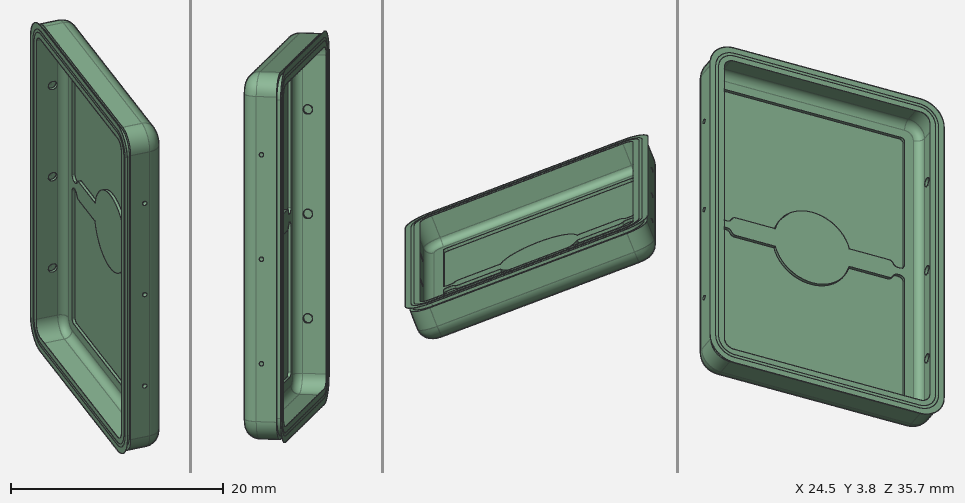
import cadquery as cq
import math

WIDTH = 24.5
HEIGHT = 35.7
DEPTH = 3.8

FILM_THICKNESS = 0.01
FILM_CORNER = 2.5
FILM_BORDER = 1.5

CASE_INSET = 0.3
CASE_CORNER = 2.0
BACK_FILLET = 1.4
NECK_STEP = 0.3
NECK_LENGTH = 0.45
WALL = 0.6
FLOOR = 0.6
NECK_INSET = CASE_INSET + NECK_STEP
CAVITY_INSET = CASE_INSET + WALL
CAVITY_CORNER = CASE_CORNER + NECK_INSET - CAVITY_INSET
CAVITY_FILLET = BACK_FILLET - WALL
FLOOR_Y = DEPTH - FLOOR

SOCKET_COUNT = 3
SOCKET_SPACING = 10.0
SOCKET_Y = 1.9
BORE_DIAMETER = 0.9
BORE_DEPTH = 0.32
DIMPLE_RADIUS = 0.2
OUTER_SIDE_X = WIDTH / 2 - CASE_INSET
INNER_SIDE_X = WIDTH / 2 - CAVITY_INSET

RECESS_INSET = 2.6
RECESS_DEPTH = 0.3
RECESS_CORNER = 0.4
PAD_RADIUS = 4.0
BAR_WIDTH = 2.0
BAR_END_WIDTH = 0.8
BAR_END_LENGTH = 1.18
BAR_END_CORNER = 0.5


def rounded_block(inset, corner, y_front, y_back):
    """Block with rounded corners, set in from the overall outline and spanning y_front to y_back."""
    return (
        cq.Workplane("XZ", origin=(0, y_front, 0))
        .rect(WIDTH - 2 * inset, HEIGHT - 2 * inset)
        .extrude(y_front - y_back)
        .edges("|Y")
        .fillet(corner)
    )


def make_film():
    film = rounded_block(0, FILM_CORNER, 0, FILM_THICKNESS)
    opening = rounded_block(FILM_BORDER, FILM_CORNER - FILM_BORDER, 0, FILM_THICKNESS)
    return film.cut(opening)


def make_recess_half():
    """Upper half of the floor recess: its foot dips at both ends through S-shaped pairs of arcs."""
    side_x = WIDTH / 2 - RECESS_INSET
    top_z = HEIGHT / 2 - RECESS_INSET
    bar_z = BAR_WIDTH / 2
    end_z = BAR_END_WIDTH / 2
    turn = math.acos(1 - (bar_z - end_z) / (2 * BAR_END_CORNER))
    middle = (side_x - BAR_END_LENGTH, (bar_z + end_z) / 2)
    half_run = BAR_END_CORNER * math.sin(turn)
    corner_start = (side_x, end_z + BAR_END_CORNER)
    corner_end = (side_x - BAR_END_CORNER, end_z)
    dip_end = (middle[0] + half_run, end_z)
    bar_start = (middle[0] - half_run, bar_z)

    def mirrored(point):
        return (-point[0], point[1])

    return (
        cq.Workplane("XZ", origin=(0, FLOOR_Y, 0))
        .moveTo(-side_x, top_z)
        .lineTo(side_x, top_z)
        .lineTo(*corner_start)
        .radiusArc(corner_end, BAR_END_CORNER)
        .lineTo(*dip_end)
        .radiusArc(middle, BAR_END_CORNER)
        .radiusArc(bar_start, -BAR_END_CORNER)
        .lineTo(*mirrored(bar_start))
        .radiusArc(mirrored(middle), -BAR_END_CORNER)
        .radiusArc(mirrored(dip_end), BAR_END_CORNER)
        .lineTo(*mirrored(corner_end))
        .radiusArc(mirrored(corner_start), BAR_END_CORNER)
        .close()
        .extrude(-RECESS_DEPTH)
        .edges("|Y and >Z")
        .fillet(RECESS_CORNER)
    )


def make_floor_recess():
    """Two mirrored halves, less the round pad that stays at floor level."""
    upper = make_recess_half()
    pad = cq.Workplane("XZ", origin=(0, FLOOR_Y, 0)).circle(PAD_RADIUS).extrude(-RECESS_DEPTH)
    return upper.union(upper.mirror("XY")).cut(pad)


def make_socket(side, z):
    """Bore and dimple to take out of the wall at X = side * OUTER_SIDE_X."""
    bore = (
        cq.Workplane("YZ", origin=(side * INNER_SIDE_X, SOCKET_Y, z))
        .circle(BORE_DIAMETER / 2)
        .extrude(side * BORE_DEPTH)
    )
    dimple = cq.Workplane("XY", origin=(side * OUTER_SIDE_X, SOCKET_Y, z)).sphere(DIMPLE_RADIUS)
    return bore, dimple


def make_case():
    shell = (
        rounded_block(CASE_INSET, CASE_CORNER, NECK_LENGTH, DEPTH)
        .faces(">Y")
        .edges()
        .fillet(BACK_FILLET)
    )
    neck = rounded_block(NECK_INSET, CASE_CORNER, FILM_THICKNESS, NECK_LENGTH)
    cavity = (
        rounded_block(CAVITY_INSET, CAVITY_CORNER, FILM_THICKNESS, FLOOR_Y)
        .faces(">Y")
        .edges()
        .fillet(CAVITY_FILLET)
    )
    body = shell.union(neck).cut(cavity).cut(make_floor_recess())
    for side in (-1, 1):
        for index in range(SOCKET_COUNT):
            z = (index - (SOCKET_COUNT - 1) / 2) * SOCKET_SPACING
            bore, dimple = make_socket(side, z)
            body = body.cut(bore, clean=False).cut(dimple, clean=False)
    return body


film = make_film()
case = make_case()

result = cq.Compound.makeCompound([case.val(), film.val()])